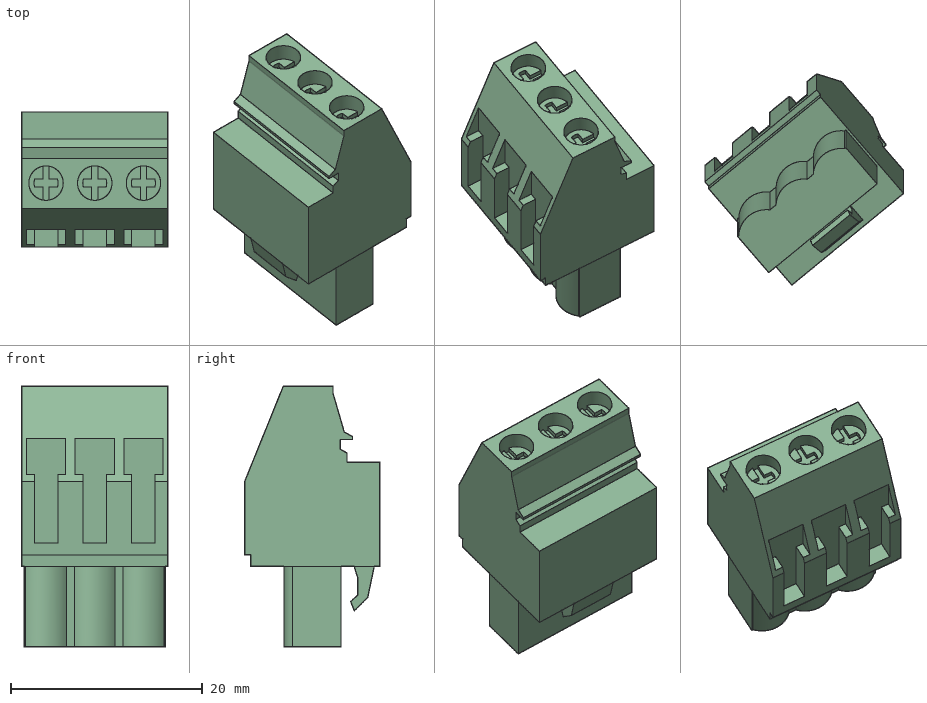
import cadquery as cq

POLES = 3
WIDTH = 15.23
PITCH = WIDTH / POLES
DEPTH = 14.1
HEIGHT = 27.2
POLE_CENTRES = [(i + 0.5) * PITCH for i in range(POLES)]

BLOCK_BOTTOM = 8.4
BACK_STEP_TOP = 19.25
SLOPE_BOTTOM = 17.27
SLOPE_TOP_Y = 4.03
FOOT_SETBACK = 0.63
FOOT_TOP = 9.6

TOP_BACK_Y = 9.22
LEAN_TOP = 26.45
LEAN_BOTTOM_Y = 10.4
LEAN_BOTTOM = 22.4
RIB_TIP_Y = 11.25
RIB_TIP_TOP = 21.92
RIB_BOTTOM = 21.62
GROOVE_Y = 9.98
GROOVE_BOTTOM = 20.62
RIB_FOOT_Y = 10.7
RIB_FOOT_TOP = 20.2

PLUG_MARGIN = 0.25
PLUG_BACK_Y = 10.06
PLUG_FRONT_Y = 5.0
LOBE_WIDTH = 4.25
LOBE_BULGE = 0.92

LATCH_WIDTH = PITCH
LATCH_PROFILE = [
    (13.52, BLOCK_BOTTOM),
    (12.85, 5.17),
    (11.42, 3.75),
    (11.05, 4.73),
    (11.78, 5.4),
    (11.78, 7.2),
    (11.4, BLOCK_BOTTOM),
]

ENTRY_HEAD_WIDTH = 4.08
ENTRY_HEAD_TOP = 21.73
ENTRY_SHOULDER = 17.98
ENTRY_STEM_WIDTH = 2.45
ENTRY_BOTTOM = 10.85
ENTRY_DEPTH = SLOPE_TOP_Y * (ENTRY_HEAD_TOP - SLOPE_BOTTOM) / (HEIGHT - SLOPE_BOTTOM)

SCREW_DIAMETER = 3.6
SCREW_Y = 6.66
SCREW_LENGTH = 2.72
SCREW_RECESS = 1.9
SLOT_WIDTH = 0.63
SLOT_DEPTH = 0.55
CROSS_DIAMETER = 2.5
CROSS_WIDTH = 0.82


def across(profile, x_start, width):
    """Extrude a closed (y, z) profile along X."""
    return cq.Workplane("YZ", origin=(x_start, 0, 0)).polyline(profile).close().extrude(width)


def front_cut(x_centre, width, z_bottom, z_top):
    """Box that removes material from the front face to the depth of the wire entry."""
    return cq.Workplane("XY").box(width, ENTRY_DEPTH, z_top - z_bottom, centered=False).translate(
        (x_centre - width / 2, 0, z_bottom)
    )


def make_block():
    """Constant cross-section running the full width of the part."""
    profile = [
        (FOOT_SETBACK, BLOCK_BOTTOM),
        (FOOT_SETBACK, FOOT_TOP),
        (0, FOOT_TOP),
        (0, SLOPE_BOTTOM),
        (SLOPE_TOP_Y, HEIGHT),
        (TOP_BACK_Y, HEIGHT),
        (TOP_BACK_Y, LEAN_TOP),
        (LEAN_BOTTOM_Y, LEAN_BOTTOM),
        (RIB_TIP_Y, RIB_TIP_TOP),
        (RIB_TIP_Y, RIB_BOTTOM),
        (GROOVE_Y, RIB_BOTTOM),
        (GROOVE_Y, GROOVE_BOTTOM),
        (RIB_FOOT_Y, RIB_FOOT_TOP),
        (RIB_FOOT_Y, BACK_STEP_TOP),
        (DEPTH, BACK_STEP_TOP),
        (DEPTH, BLOCK_BOTTOM),
    ]
    return across(profile, 0, WIDTH)


def make_plug():
    """Straight-walled plug whose front edge swells into one circular arc per pole."""
    outline = cq.Workplane("XY").moveTo(PLUG_MARGIN, PLUG_BACK_Y).lineTo(PLUG_MARGIN, PLUG_FRONT_Y)
    for x in POLE_CENTRES:
        outline = outline.lineTo(x - LOBE_WIDTH / 2, PLUG_FRONT_Y).threePointArc(
            (x, PLUG_FRONT_Y - LOBE_BULGE), (x + LOBE_WIDTH / 2, PLUG_FRONT_Y)
        )
    return (
        outline.lineTo(WIDTH - PLUG_MARGIN, PLUG_FRONT_Y)
        .lineTo(WIDTH - PLUG_MARGIN, PLUG_BACK_Y)
        .close()
        .extrude(BLOCK_BOTTOM)
    )


def make_wire_entry(x):
    """T-shaped cutter: a wide head with a narrow stem below it."""
    head = front_cut(x, ENTRY_HEAD_WIDTH, ENTRY_SHOULDER, ENTRY_HEAD_TOP)
    stem = front_cut(x, ENTRY_STEM_WIDTH, ENTRY_BOTTOM, ENTRY_SHOULDER)
    return head.union(stem)


def make_screw_hole(x):
    """Cutter from the top face down to the underside of the screw."""
    return (
        cq.Workplane("XY", origin=(x, SCREW_Y, HEIGHT))
        .circle(SCREW_DIAMETER / 2)
        .extrude(-(SCREW_RECESS + SCREW_LENGTH))
    )


def make_housing():
    latch = across(LATCH_PROFILE, (WIDTH - LATCH_WIDTH) / 2, LATCH_WIDTH)
    housing = make_block().union(make_plug()).union(latch)
    for x in POLE_CENTRES:
        housing = housing.cut(make_wire_entry(x)).cut(make_screw_hole(x))
    return housing


def make_screw(x):
    """Plain cylindrical screw whose head has a full-width slot crossed by a short, round-ended one."""
    head = cq.Workplane("XY", origin=(x, SCREW_Y, HEIGHT - SCREW_RECESS))
    body = head.circle(SCREW_DIAMETER / 2).extrude(-SCREW_LENGTH)
    slot = head.rect(SLOT_WIDTH, SCREW_DIAMETER).extrude(-SLOT_DEPTH)
    cross_limit = head.circle(CROSS_DIAMETER / 2).extrude(-SLOT_DEPTH)
    cross_slot = head.rect(CROSS_DIAMETER, CROSS_WIDTH).extrude(-SLOT_DEPTH).intersect(cross_limit)
    return body.cut(slot).cut(cross_slot)


housing = make_housing()
screws = [make_screw(x) for x in POLE_CENTRES]

result = cq.Compound.makeCompound([housing.val(), *[screw.val() for screw in screws]])